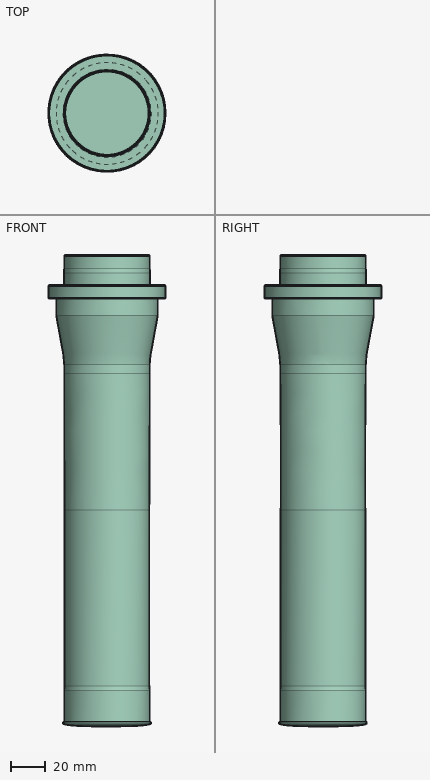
import cadquery as cq

total_height = 272.98

end_ring_radius = 49.7 / 2
tube_radius = 49.22 / 2
neck_radius = 49.73 / 2
collar_radius = 59 / 2
flange_radius = 68 / 2
plug_radius = 49.99 / 2
plug_tip_radius = 49.7 / 2

end_ring_top = 21.0
end_cone_top = 23.5
tube_top = 125.4
neck_bottom = 204.5
neck_top = 209.5
bell_top = 238.0
flange_bottom = 247.45
flange_top = 255.5
plug_cone_bottom = 262.7
plug_cone_top = 265.2

bell_corner = 213.0

flange_chamfer = 0.7
plug_chamfer = 0.8

lens_top = 2.9
lens_rim_pull = 1.8
lens_rim_pull_height = 1.9
lens_dome_pull = 2.0


def turn(profile):
    """Revolve a half profile, drawn as radius and height, about the Z axis."""
    return profile.close().revolve(360, (0, 0, 0), (0, 1, 0))


def make_housing():
    """Solid tube with an end ring, a bell-shaped collar, a flange and a top plug."""
    bell_pull = (neck_radius, bell_corner)
    lower_profile = (
        cq.Workplane("XZ")
        .moveTo(0, lens_top)
        .lineTo(end_ring_radius, lens_top)
        .lineTo(end_ring_radius, end_ring_top)
        .lineTo(tube_radius, end_cone_top)
        .lineTo(tube_radius, tube_top)
        .lineTo(neck_radius, neck_bottom)
        .lineTo(neck_radius, neck_top)
    )
    collar_profile = (
        lower_profile
        .bezier([bell_pull, bell_pull, (collar_radius, bell_top)], includeCurrent=True)
        .lineTo(collar_radius, flange_bottom)
        .lineTo(flange_radius - flange_chamfer, flange_bottom)
        .lineTo(flange_radius, flange_bottom + flange_chamfer)
        .lineTo(flange_radius, flange_top - flange_chamfer)
        .lineTo(flange_radius - flange_chamfer, flange_top)
    )
    full_profile = (
        collar_profile
        .lineTo(plug_radius, flange_top)
        .lineTo(plug_radius, plug_cone_bottom)
        .lineTo(plug_tip_radius, plug_cone_top)
        .lineTo(plug_tip_radius, total_height - plug_chamfer)
        .lineTo(plug_tip_radius - plug_chamfer, total_height)
        .lineTo(0, total_height)
    )
    return turn(full_profile)


def make_lens():
    """Domed lens that closes the lower end of the housing."""
    rim_pull = (end_ring_radius + lens_rim_pull, lens_rim_pull_height)
    dome_pull = (end_ring_radius + lens_dome_pull, 0)
    dome_flat = (end_ring_radius / 2, 0)
    profile = (
        cq.Workplane("XZ")
        .moveTo(0, lens_top)
        .lineTo(end_ring_radius, lens_top)
        .bezier([rim_pull, dome_pull, dome_flat, (0, 0)], includeCurrent=True)
    )
    return turn(profile)


housing = make_housing()
lens = make_lens()
result = cq.Compound.makeCompound([housing.val(), lens.val()])